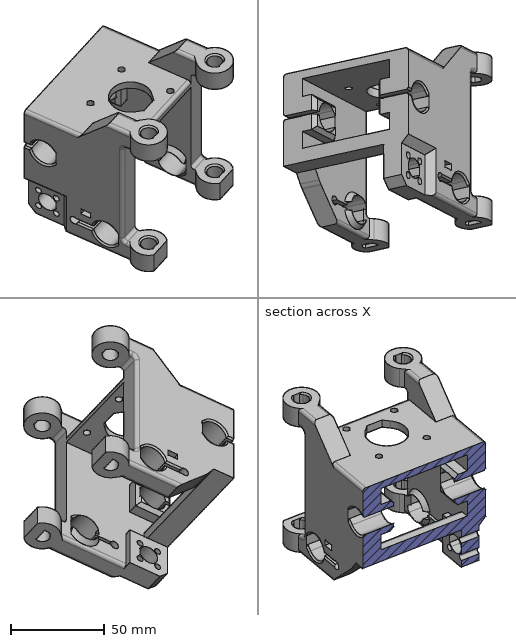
import cadquery as cq
import math

half_width = 40.0
wall_thickness = 12.2
body_length = 62.8
body_height = 76.6
total_height = 94.0
edge_radius = 2.1
inner_y = half_width - wall_thickness

boss_radius = 10.0
boss_x = 74.75
boss_y = 33.0
boss_height = 12.1
arm_inner_corner_radius = 2.1
arm_top_start_x = 53.4
lower_boss_flat_x = 82.25
rod_hole_radius = 4.35
rod_hole_chamfer = 0.95
rod_stop_x = 76.1
rod_stop_height = 2.0

plate_thickness = 4.7
motor_x = 42.15
motor_opening_radius = 11.75
motor_screw_pitch = 31.0
motor_screw_radius = 1.95

bar_depth = 12.9
bar_bottom = 24.3
bar_top = 32.2

bore_radius = 7.95
bore_flat = 8.2
bore_chamfer = 1.0
slit_width = 2.1
slit_chamfer = 1.0
clamp_half_size = 10.0
upper_bore_x = 12.1
upper_bore_z = 51.75
upper_clamp_depth = 8.1
upper_clamp_chamfer = 2.2
lower_bore_x = 51.7
lower_bore_z = 12.1
lower_clamp_depth = 2.9
lower_clamp_base_radius = 10.3
lower_clamp_taper = 38.0
relief_hole_x = 31.7
relief_hole_radius = 2.45

nut_width = 6.0
nut_slot_height = 3.6
nut_slot_x = 39.2
nut_slot_bottom = 19.1
nut_slot_depth = 8.0

block_length = bar_bottom
recess_depth = 4.3
recess_floor_size = 22.8
block_inner_y = 24.1
block_corner = 4.9
block_hole_x = 12.1
block_hole_z = 12.1
block_hole_radius = 5.6
block_screw_spacing = 11.3
block_screw_radius = 1.85

undercut_corner_x = 17.3
undercut_corner_z = 18.0
undercut_radius = 16.0


def box(x0, x1, y0, y1, z0, z1):
    """Box between two opposite corners."""
    return cq.Workplane("XY").box(x1 - x0, y1 - y0, z1 - z0, centered=False).translate((x0, y0, z0))


def both_sides(solid):
    """The solid joined with its mirror image across the XZ plane."""
    return solid.union(solid.mirror("XZ"))


def teardrop(workplane, radius, flat):
    """Closed circle outline with 45 degree tangents toward +X, cut off at the distance flat."""
    tangent = radius * math.sqrt(0.5)
    tip_half = 2 * tangent - flat
    return (
        workplane.moveTo(tangent, tangent)
        .threePointArc((-radius, 0), (tangent, -tangent))
        .lineTo(flat, -tip_half)
        .lineTo(flat, tip_half)
        .close()
    )


def chamfered_teardrop(radius, flat, chamfer, depth):
    """Teardrop cutter from z = 0 down, cut off at the distance flat, its mouth widened except there."""
    shaft = teardrop(cq.Workplane("XY"), radius, flat).extrude(-depth)
    mouth = teardrop(cq.Workplane("XY"), radius + chamfer, radius + chamfer).extrude(-chamfer, taper=45)
    beyond_flat = box(flat, radius + 2 * chamfer, -radius, radius, -depth, 0)
    return shaft.union(mouth.cut(beyond_flat))


def upright_on_outer_wall(cutter, x, z):
    """Turn a cutter made along -Z so that it enters the -Y wall face at (x, z)."""
    return cutter.rotate((0, 0, 0), (1, 0, 0), 90).translate((x, -half_width, z))


def make_wall():
    """The -Y side wall with both arms and its long edges rounded."""
    corner = arm_inner_corner_radius
    arc_offset = corner * (1 - math.sqrt(0.5))
    arm_start_x = body_length + corner
    upper_arm_z = total_height - boss_height
    slope_start_x = arm_top_start_x - (total_height - body_height)
    wall = (
        cq.Workplane("XZ", origin=(0, -inner_y, 0))
        .lineTo(boss_x, 0)
        .lineTo(boss_x, boss_height)
        .lineTo(arm_start_x, boss_height)
        .threePointArc(
            (body_length + arc_offset, boss_height + arc_offset),
            (body_length, boss_height + corner),
        )
        .lineTo(body_length, upper_arm_z - corner)
        .threePointArc(
            (body_length + arc_offset, upper_arm_z - arc_offset),
            (arm_start_x, upper_arm_z),
        )
        .lineTo(boss_x, upper_arm_z)
        .lineTo(boss_x, total_height)
        .lineTo(arm_top_start_x, total_height)
        .lineTo(slope_start_x, body_height)
        .lineTo(0, body_height)
        .close()
        .extrude(wall_thickness)
    )

    def is_rounded(edge):
        """Long outer edges, except the sloped ones and those around the inner rear opening."""
        center = edge.Center()
        on_slope = slope_start_x < center.x < arm_top_start_x and body_height < center.z < total_height
        on_rear = boss_height - edge_radius < center.z < upper_arm_z + edge_radius
        on_inner_rear = on_rear and center.x > arm_top_start_x and center.y > -boss_y
        return 0 < center.x < boss_x and not on_slope and not on_inner_rear

    edges = wall.faces("<Y or >Y").edges().filter(is_rounded)
    return wall.newObject(edges.vals()).fillet(edge_radius)


def make_boss(base_z):
    """Rod boss of the -Y side, with a 45 degree gusset toward the inner side of its arm."""
    tangent = boss_radius * math.sqrt(0.5)
    boss = cq.Workplane("XY").circle(boss_radius).extrude(boss_height)
    gusset = (
        cq.Workplane("XY")
        .lineTo(-tangent, tangent)
        .lineTo(-2 * tangent, 0)
        .close()
        .extrude(boss_height)
    )
    return boss.union(gusset).translate((boss_x, -boss_y, base_z))


def make_upper_clamp():
    """Square clamp pad inside the -Y wall around the upper bore."""
    pad = box(
        0, upper_bore_x + clamp_half_size,
        -inner_y, upper_clamp_depth - inner_y,
        upper_bore_z - clamp_half_size, upper_bore_z + clamp_half_size,
    )
    return pad.faces(">Y").edges().chamfer(upper_clamp_chamfer)


def make_lower_clamp():
    """Conical clamp ring inside the -Y wall around the lower bore, split by its slit."""
    ring = (
        cq.Workplane("XZ", origin=(lower_bore_x, -inner_y, lower_bore_z))
        .circle(lower_clamp_base_radius)
        .extrude(-lower_clamp_depth, taper=lower_clamp_taper)
    )
    kept_width = box(0, lower_bore_x + bore_flat, -half_width, 0, 0, body_height)
    gap = box(
        0, lower_bore_x, -inner_y, 0,
        lower_bore_z - relief_hole_radius, lower_bore_z + relief_hole_radius,
    )
    return ring.intersect(kept_width).cut(gap)


def make_slit(x0, x1, z):
    """Clamp slit through the -Y wall, chamfered at the outer face."""
    half_slit = slit_width / 2
    slit = box(x0, x1, -half_width, 0, z - half_slit, z + half_slit)
    mouth = (
        cq.Workplane("YZ", origin=(x0, 0, 0))
        .moveTo(-half_width, z - half_slit - slit_chamfer)
        .lineTo(-half_width + slit_chamfer, z - half_slit)
        .lineTo(-half_width + slit_chamfer, z + half_slit)
        .lineTo(-half_width, z + half_slit + slit_chamfer)
        .close()
        .extrude(x1 - x0)
    )
    return slit.union(mouth)


def make_clamp_cutters():
    """Bores, slits and relief hole of the -Y side clamps."""
    bore = chamfered_teardrop(bore_radius, bore_flat, bore_chamfer, half_width)
    relief = cq.Workplane("XY").circle(relief_hole_radius).extrude(-half_width)
    cutters = upright_on_outer_wall(bore, upper_bore_x, upper_bore_z)
    cutters = cutters.union(upright_on_outer_wall(bore, lower_bore_x, lower_bore_z))
    cutters = cutters.union(upright_on_outer_wall(relief, relief_hole_x, lower_bore_z))
    cutters = cutters.union(make_slit(0, upper_bore_x, upper_bore_z))
    return cutters.union(make_slit(relief_hole_x, lower_bore_x, lower_bore_z))


def make_nut_slot():
    """Slot for a hexagon nut in the -Y wall; its inner end is the nut's 120 degree corner."""
    corner_length = nut_width / 2 * math.tan(math.radians(30))
    half_nut = nut_width / 2
    slot_end_y = nut_slot_depth - half_width
    return (
        cq.Workplane("XY", origin=(nut_slot_x, 0, nut_slot_bottom))
        .moveTo(-half_nut, -half_width)
        .lineTo(half_nut, -half_width)
        .lineTo(half_nut, slot_end_y - corner_length)
        .lineTo(0, slot_end_y)
        .lineTo(-half_nut, slot_end_y - corner_length)
        .close()
        .extrude(nut_slot_height)
    )


def make_rod_holes():
    """Chamfered rod holes of the -Y side bosses; a ledge at the bottom of the lower one stops the rod."""
    hole = chamfered_teardrop(rod_hole_radius, rod_hole_radius, rod_hole_chamfer, boss_height)
    upper = hole.translate((boss_x, -boss_y, total_height))
    lower = hole.translate((boss_x, -boss_y, boss_height))
    ledge = box(rod_stop_x, lower_boss_flat_x, -half_width, -inner_y, 0, rod_stop_height)
    return upper.union(lower.cut(ledge))


def make_top_plate():
    """Plate between the walls, with its +X top edge rounded."""
    reach = half_width - edge_radius
    plate = box(0, body_length, -reach, reach, body_height - plate_thickness, body_height)
    return plate.edges(">X and >Z").fillet(edge_radius)


def make_motor_cutters():
    """Central motor opening and its four screw holes."""
    plane = cq.Workplane("XY", origin=(motor_x, 0, body_height))
    opening = teardrop(plane, motor_opening_radius, motor_opening_radius).extrude(-plate_thickness)
    screws = (
        plane.rect(motor_screw_pitch, motor_screw_pitch, forConstruction=True)
        .vertices()
        .circle(motor_screw_radius)
        .extrude(-plate_thickness)
    )
    return opening.union(screws)


def make_bar():
    """Front cross bar with its upper rear edge rounded."""
    bar = box(0, bar_depth, -inner_y, inner_y, bar_bottom, bar_top)
    return bar.edges(">X and >Z").fillet(edge_radius)


def make_recess():
    """Recess in the outer face of the -Y wall with 45 degree upper and +X sides."""
    mouth_size = recess_floor_size + recess_depth
    return (
        cq.Workplane("XZ", origin=(0, -half_width, 0))
        .rect(2 * mouth_size, 2 * mouth_size)
        .extrude(-recess_depth, taper=45)
    )


def make_block_cutters():
    """Teardrop hole, four screw holes and the cut lower corner of the nut block."""
    hole = teardrop(cq.Workplane("XY"), block_hole_radius, block_hole_radius).extrude(-half_width)
    screws = (
        cq.Workplane("XY")
        .rect(block_screw_spacing, block_screw_spacing, forConstruction=True)
        .vertices()
        .circle(block_screw_radius)
        .extrude(-half_width)
    )
    corner = (
        cq.Workplane("XZ")
        .lineTo(block_corner, 0)
        .lineTo(0, block_corner)
        .close()
        .extrude(half_width)
    )
    return upright_on_outer_wall(hole.union(screws), block_hole_x, block_hole_z).union(corner)


def make_undercut():
    """Cut below the front end of the +Y wall: a steep face that bends into a 45 degree one."""
    cutter = (
        cq.Workplane("XZ", origin=(0, half_width, 0))
        .lineTo(undercut_corner_x + undercut_corner_z, 0)
        .lineTo(undercut_corner_x, undercut_corner_z)
        .lineTo(bar_depth, bar_bottom)
        .lineTo(0, bar_bottom)
        .close()
        .extrude(wall_thickness)
    )
    wall_middle_y = inner_y + wall_thickness / 2
    bend = cq.selectors.NearestToPointSelector((undercut_corner_x, wall_middle_y, undercut_corner_z))
    return cutter.edges(bend).fillet(undercut_radius)


upper_boss = make_boss(total_height - boss_height)
lower_boss = make_boss(0).cut(
    box(lower_boss_flat_x, boss_x + boss_radius, -2 * half_width, 0, 0, boss_height)
)
nut_block = box(0, block_length, -half_width, -block_inner_y, 0, bar_bottom)

side = make_wall().union(upper_boss).union(lower_boss)
side = side.union(make_upper_clamp()).union(make_lower_clamp())

result = both_sides(side).union(make_top_plate()).union(make_bar())
result = result.cut(make_undercut()).union(nut_block).cut(make_recess())
result = result.cut(make_block_cutters()).cut(make_motor_cutters())
for side_cutter in (make_clamp_cutters(), make_nut_slot(), make_rod_holes()):
    result = result.cut(both_sides(side_cutter))